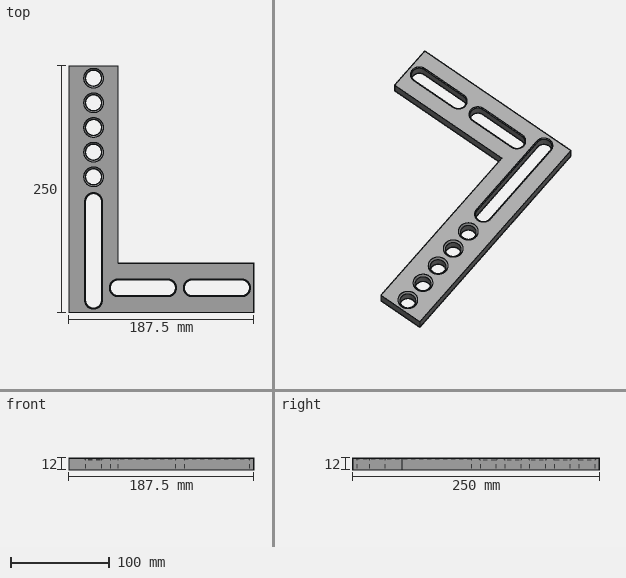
import cadquery as cq

width = 187.5
length = 250.0
thickness = 12.0
arm_width = 50.0

centreline = arm_width / 2
pitch = 25.0
end_margin = pitch / 2
opening_diameter = 16.0
hole_count = 5
hole_chamfer = 2.0
slot_chamfer = 1.0
chamfer_included_angle = 90

long_slot_span = 4 * pitch
short_slot_span = 2 * pitch
short_slot_starts = [2 * pitch, 5 * pitch]


def make_plate():
    """L-shaped plate with its outer corner at the origin."""
    outline = [
        (0, 0),
        (width, 0),
        (width, arm_width),
        (arm_width, arm_width),
        (arm_width, length),
        (0, length),
    ]
    return cq.Workplane("XY").polyline(outline).close().extrude(thickness)


def cut_round_hole(plate, y):
    """Through hole on the long arm, top rim chamfered."""
    return (
        plate.faces(">Z")
        .workplane(origin=(centreline, y, thickness))
        .cskHole(opening_diameter, opening_diameter + 2 * hole_chamfer, chamfer_included_angle)
    )


def cut_slot(plate, x, y, span, angle):
    """Through slot centred at (x, y), top rim chamfered."""
    slot_length = span + opening_diameter
    slot = cq.Workplane("XY").center(x, y).slot2D(slot_length, opening_diameter, angle).extrude(thickness)
    rim_length = slot_length + 2 * slot_chamfer
    rim_width = opening_diameter + 2 * slot_chamfer
    rim = (
        cq.Workplane("XY", origin=(x, y, thickness))
        .slot2D(rim_length, rim_width, angle)
        .extrude(-slot_chamfer, taper=chamfer_included_angle / 2)
    )
    return plate.cut(slot).cut(rim)


result = make_plate()
for index in range(hole_count):
    result = cut_round_hole(result, length - end_margin - index * pitch)
result = cut_slot(result, centreline, end_margin + long_slot_span / 2, long_slot_span, 90)
for start in short_slot_starts:
    result = cut_slot(result, start + short_slot_span / 2, centreline, short_slot_span, 0)